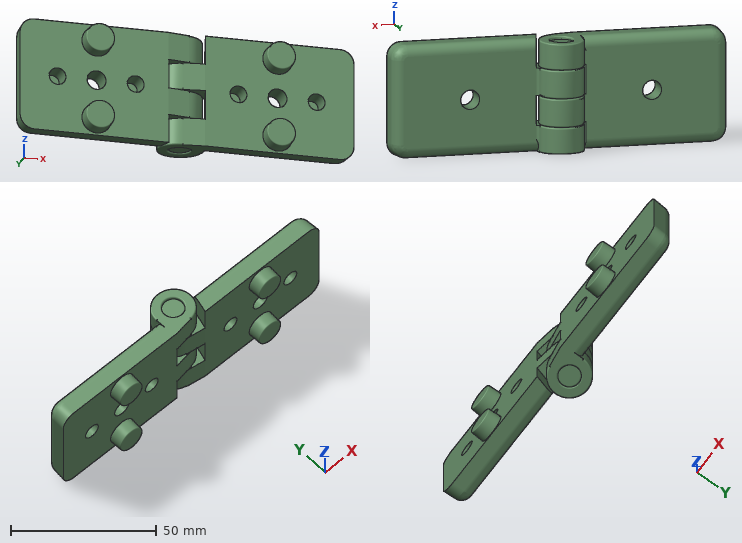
import cadquery as cq
import math


length = 120.0
height = 40.2
draft = 3.0
draft_slope = math.tan(math.radians(draft))

plate_thickness = 8.5
plate_end_x = 6.6
pocket_end_x = 8.9
corner_radius = 5.0
back_edge_radius = 3.7

knuckle_radius = 7.9
pin_y = 9.0
pin_radius = 4.1
rim_radius = 0.5
root_radius = 1.0
pin_recess = 0.7
knuckle_gap = 0.4
knuckle_count = 4
knuckle_pitch = height / knuckle_count
envelope_depth = pin_y + 2 * knuckle_radius

pattern_x = 32.5
pattern_radius = 14.0
screw_hole_radius = 3.4
blind_hole_radius = 3.0
blind_hole_depth = 7.0
stud_radius = 5.3
stud_length = 5.0
stud_edge_radius = 0.4


def drafted_block(depth):
    """Block of the hinge's length and height standing on y = 0, its walls leaning inward by the draft."""
    return cq.Workplane("XZ").rect(length, height).extrude(-depth, taper=draft)


def on_mounting_face(x, z):
    """Workplane at a point of the mounting face; positive extrusions stand out of the plate."""
    return cq.Workplane("XZ", origin=(x, 0, z))


def knuckle_span(index):
    """Lower and upper height of one knuckle, counted from the top, ignoring the gaps."""
    z_max = height / 2 - index * knuckle_pitch
    return z_max - knuckle_pitch, z_max


def knuckle_ends(index):
    """Lower and upper height of one knuckle less half a gap; the leaf's outer end is left to the draft."""
    z_min, z_max = knuckle_span(index)
    if index > 0:
        z_max -= knuckle_gap / 2
    return z_min + knuckle_gap / 2, z_max


def make_plate():
    """Left plate with rounded outer corners and rounded back edges, cut square at its inner end."""
    block = drafted_block(plate_thickness)
    block = block.edges("not(<Y or >Y)").fillet(corner_radius)
    block = block.faces(">Y").edges().fillet(back_edge_radius)
    left_side = cq.Workplane("XY").box(length, length, height, centered=(False, True, True))
    return block.intersect(left_side.translate((-plate_end_x - length, 0, 0)))


def make_pocket(index):
    """Room for one knuckle of the other leaf and its gaps, with a sloping wall at the plate's inner end."""
    z_min, z_max = knuckle_span(index)
    depth = z_max - z_min + knuckle_gap
    return (
        cq.Workplane("XY", origin=(0, 0, z_min - knuckle_gap / 2))
        .moveTo(-plate_end_x, 0)
        .lineTo(-pocket_end_x, plate_thickness)
        .lineTo(0, plate_thickness)
        .lineTo(0, 0)
        .close()
        .extrude(depth)
    )


def make_knuckle(index):
    """Barrel with rounded rims, on a web that runs from the plate and meets the barrel tangentially."""
    z_min, z_max = knuckle_ends(index)
    base = cq.Workplane("XY", origin=(0, 0, z_min))
    envelope = drafted_block(envelope_depth)

    barrel = base.center(0, pin_y).circle(knuckle_radius).extrude(z_max - z_min)
    barrel = barrel.intersect(envelope).edges("not |Z").fillet(rim_radius)

    corner_angle = math.atan2(pin_y, plate_end_x)
    half_wedge = math.asin(knuckle_radius / math.hypot(pin_y, plate_end_x))
    slope = corner_angle - half_wedge
    web = (
        base.moveTo(-knuckle_radius, pin_y)
        .lineTo(-knuckle_radius, 0)
        .lineTo(-plate_end_x, 0)
        .lineTo(knuckle_radius * math.sin(slope), pin_y - knuckle_radius * math.cos(slope))
        .lineTo(0, pin_y)
        .close()
        .extrude(z_max - z_min)
    )
    return barrel.union(web.intersect(envelope))


def make_root(index):
    """Concave rounding between a barrel and the plate's back, fading into the plate's rounded back edge."""
    z_min, z_max = knuckle_ends(index)
    arc_y = plate_thickness + root_radius
    arc_x = -math.sqrt((knuckle_radius + root_radius) ** 2 - (arc_y - pin_y) ** 2)
    barrel_share = knuckle_radius / (knuckle_radius + root_radius)
    contact_x = arc_x * barrel_share
    contact_y = pin_y + (arc_y - pin_y) * barrel_share
    middle_angle = (math.atan2(contact_y - arc_y, contact_x - arc_x) - math.pi / 2) / 2
    middle = (arc_x + root_radius * math.cos(middle_angle), arc_y + root_radius * math.sin(middle_angle))

    edge_y = plate_thickness - back_edge_radius
    edge_z = height / 2 - edge_y * draft_slope - back_edge_radius / math.cos(math.radians(draft))
    bend_z = edge_z - root_radius
    straight_end = min(z_max, bend_z)

    section = (
        cq.Workplane("XY", origin=(0, 0, straight_end))
        .moveTo(arc_x, plate_thickness)
        .threePointArc(middle, (contact_x, contact_y))
        .lineTo(-plate_end_x, contact_y)
        .lineTo(-plate_end_x, plate_thickness)
        .close()
    )
    root = section.extrude(z_min - straight_end)
    if z_max > bend_z:
        root = root.union(section.toPending().revolve(90, (-1.2, edge_y), (0, edge_y)))
    return root


def make_leaf():
    """Left leaf; its knuckles are the first and third from the top."""
    leaf = make_plate()
    for index in range(1, knuckle_count, 2):
        leaf = leaf.cut(make_pocket(index))
    for index in range(0, knuckle_count, 2):
        leaf = leaf.union(make_knuckle(index)).union(make_root(index))

    bore = cq.Workplane("XY").center(0, pin_y).circle(pin_radius).extrude(height / 2, both=True)
    leaf = leaf.cut(bore)
    mouth_z = height / 2 - pin_y * draft_slope
    mouth = cq.selectors.NearestToPointSelector((0, pin_y, mouth_z))
    leaf = leaf.edges(mouth).fillet(rim_radius)

    screw_hole = on_mounting_face(-pattern_x, 0).circle(screw_hole_radius).extrude(-plate_thickness)
    leaf = leaf.cut(screw_hole)
    for offset in (-pattern_radius, pattern_radius):
        mouth_face = on_mounting_face(-pattern_x + offset, 0).circle(blind_hole_radius)
        leaf = leaf.cut(mouth_face.extrude(-blind_hole_depth, taper=draft))
    return leaf


def make_stud(x, z):
    """Tapered stud standing on the mounting face, rounded at its free end."""
    stud = on_mounting_face(x, z).circle(stud_radius).extrude(stud_length, taper=draft)
    return stud.faces("<Y").edges().fillet(stud_edge_radius)


def make_pin():
    """Hinge pin with rounded ends, sunk below both knuckle ends."""
    half_length = height / 2 - pin_y * draft_slope - pin_recess
    pin = cq.Workplane("XY").center(0, pin_y).circle(pin_radius).extrude(half_length, both=True)
    return pin.edges("%CIRCLE").fillet(rim_radius)


left_leaf = make_leaf().solids()
right_leaf = left_leaf.rotate((0, 0, 0), (0, 1, 0), 180)
pin = make_pin().solids()

studs = []
for stud_x in (-pattern_x, pattern_x):
    for stud_z in (-pattern_radius, pattern_radius):
        studs.append(make_stud(stud_x, stud_z).solids().val())

result = cq.Compound.makeCompound([left_leaf.val(), right_leaf.val(), pin.val(), *studs])